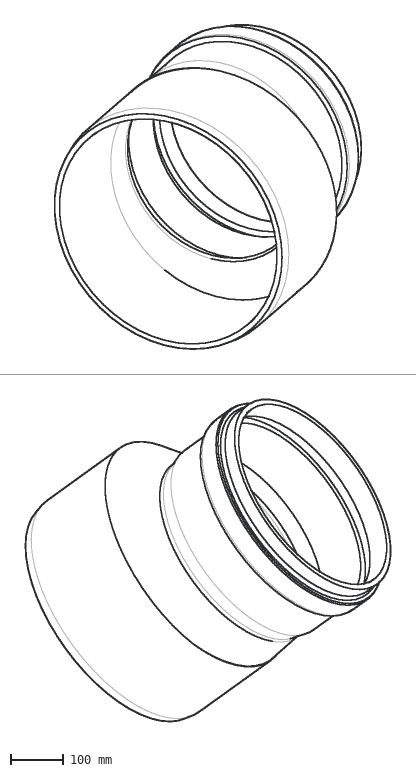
import cadquery as cq

length = 487.0
width = 521
cone_front = 213.0
cone_back = 276.0
neck_back = 285.0
flare_back = 314.0
collar_front = 405.5
collar_back = 453.0
lead_back = 461.5

spigot_diameter = 500.0
spigot_bore = 469.5
neck_diameter = 407.5
neck_bore = 377.5
socket_diameter = 424.5
socket_bore = 402.0
collar_diameter = 450.0
groove_diameter = 428.0

cone_overhang = 11.5
throat_flare = 5.0
spigot_bevel_length = 19.5
spigot_bevel_depth = 4.0
collar_front_bevel = 5.0
collar_back_bevel = 3.5
collar_edge_bevel = 1.5
lead_height = 4.0
collar_wall = (collar_diameter - groove_diameter) / 2

socket_x = collar_diameter / 2 + spigot_diameter / 2 - width


def revolve_profile(points, axis_x):
    """Revolve (radius, y) points about the line x = axis_x parallel to Y."""
    placed = [(axis_x + radius, y) for radius, y in points]
    return cq.Workplane("XY").polyline(placed).close().revolve(360, (axis_x, 0), (axis_x, 1))


def station_plane(center_x, y):
    """Work plane normal to Y, centred on an axis at X = center_x."""
    return cq.Workplane("XZ", origin=(center_x, y, 0))


def ellipse_wire(center_x, y, radius_x, radius_z):
    return station_plane(center_x, y).ellipse(radius_x, radius_z).wire().val()


def circle_wire(center_x, y, diameter):
    return station_plane(center_x, y).circle(diameter / 2).wire().val()


def ruled_solid(front, back):
    """Straight-sided solid between two closed wires."""
    return cq.Workplane(cq.Solid.makeLoft([front, back], True))


def outer_cone():
    """Offset cone, overwide towards +X at its base and trimmed there by the spigot cylinder."""
    base = ellipse_wire(
        cone_overhang / 2,
        cone_front,
        (spigot_diameter + cone_overhang) / 2,
        spigot_diameter / 2,
    )
    cone = ruled_solid(base, circle_wire(socket_x, cone_back, neck_diameter))
    depth = cone_back - cone_front
    trim = station_plane(0, cone_front).circle(spigot_diameter / 2).extrude(-depth)
    open_side = (
        station_plane(-spigot_diameter / 2, cone_front)
        .rect(spigot_diameter, 2 * spigot_diameter)
        .extrude(-depth)
    )
    return cone.intersect(trim.union(open_side))


def inner_cone():
    """Offset cone from the spigot bore, with a short throat easing into the neck bore."""
    throat = circle_wire(socket_x + throat_flare / 2, cone_back, neck_bore + throat_flare)
    cone = ruled_solid(circle_wire(0, cone_front, spigot_bore), throat)
    return cone.union(ruled_solid(throat, circle_wire(socket_x, neck_back, neck_bore)))


def outer_body():
    spigot = revolve_profile(
        [
            (0, 0),
            (spigot_diameter / 2 - spigot_bevel_depth, 0),
            (spigot_diameter / 2, spigot_bevel_length),
            (spigot_diameter / 2, cone_front),
            (0, cone_front),
        ],
        0,
    )
    neck_radius = neck_diameter / 2
    socket_radius = socket_diameter / 2
    collar_radius = collar_diameter / 2
    socket = revolve_profile(
        [
            (0, cone_back),
            (neck_radius, cone_back),
            (neck_radius, neck_back),
            (socket_radius, flare_back),
            (socket_radius, collar_front),
            (collar_radius - collar_edge_bevel, collar_front),
            (collar_radius, collar_front + collar_front_bevel),
            (collar_radius, collar_back - collar_back_bevel),
            (collar_radius - collar_edge_bevel, collar_back),
            (socket_radius + lead_height, collar_back),
            (socket_radius, lead_back),
            (socket_radius, length),
            (0, length),
        ],
        socket_x,
    )
    return spigot.union(outer_cone()).union(socket)


def inner_passage():
    spigot = revolve_profile(
        [(0, 0), (spigot_bore / 2, 0), (spigot_bore / 2, cone_front), (0, cone_front)], 0
    )
    groove_front = collar_front + collar_wall
    groove_back = collar_back - collar_wall
    socket = revolve_profile(
        [
            (0, neck_back),
            (neck_bore / 2, neck_back),
            (socket_bore / 2, flare_back),
            (socket_bore / 2, groove_front),
            (groove_diameter / 2, groove_front),
            (groove_diameter / 2, groove_back),
            (socket_bore / 2, groove_back),
            (socket_bore / 2, length),
            (0, length),
        ],
        socket_x,
    )
    return spigot.union(inner_cone()).union(socket)


result = outer_body().cut(inner_passage())